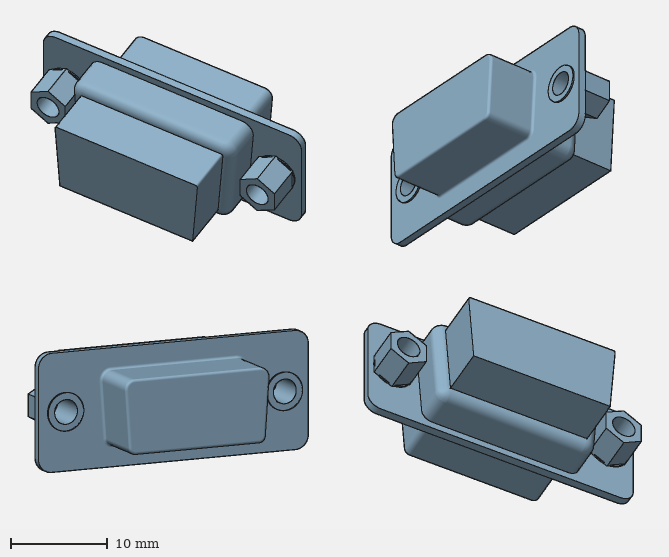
import cadquery as cq
import math

SIDE_ANGLE = math.radians(4)

FLANGE_WIDTH = 30.81
FLANGE_HEIGHT = 12.55
FLANGE_THICKNESS = 0.86
FLANGE_CORNER_RADIUS = 1.5
FLANGE_OFFSET_X = 0.04

SHROUD_WIDTH = 19.4
SHROUD_HEIGHT = 10.86
SHROUD_DEPTH = 4.18
SHROUD_TOP_RADIUS = 1.4
SHROUD_BOTTOM_RADIUS = 1.25
SHROUD_EDGE_FILLET = 1.11

SHROUD_WALL = 1.2
INSERT_WIDTH = SHROUD_WIDTH - 2 * SHROUD_WALL
INSERT_HEIGHT = SHROUD_HEIGHT - 2 * SHROUD_WALL
INSERT_TOP_RADIUS = 0.25
INSERT_LENGTH = 9.4

PLUG_WIDTH = 16.42
PLUG_HEIGHT = 7.9
PLUG_LENGTH = 5.84
PLUG_TOP_RADIUS = 1.05
PLUG_BOTTOM_RADIUS = 0.75
PLUG_EDGE_SIZE = 0.28

SELECTION_MARGIN = 0.01

POST_SPACING = 24.97
POST_OFFSET_X = -0.1
POST_ACROSS_FLATS = 4.1
POST_LENGTH = 3.8
POST_HOLE_DIAMETER = 2.6

COLLAR_DIAMETER = 4.4
COLLAR_HEIGHT = 0.17
SHANK_DIAMETER = 4.06
SHANK_PROTRUSION = 0.18


def plane_at(y):
    """Sketch plane at the given y, drawn with X right and Z up; extrusion goes to -Y."""
    return cq.Workplane("XZ", origin=(0, y, 0))


def d_prism(width, height, y_back, y_front, top_radius, bottom_radius=0):
    """D-shaped prism; width is measured over the rounded top corners."""
    overhang = top_radius * (math.tan(math.pi / 4 + SIDE_ANGLE / 2) - 1)
    top_half = width / 2 + overhang
    bottom_half = top_half - height * math.tan(SIDE_ANGLE)
    top = height / 2
    prism = (
        plane_at(y_back)
        .polyline([(-top_half, top), (top_half, top), (bottom_half, -top), (-bottom_half, -top)])
        .close()
        .extrude(y_back - y_front)
    )
    prism = prism.edges("|Y").edges(">Z").fillet(top_radius)
    if bottom_radius:
        prism = prism.edges("|Y").edges("<Z").fillet(bottom_radius)
    return prism


def disc(x, y_back, diameter, length):
    return plane_at(y_back).center(x, 0).circle(diameter / 2).extrude(length)


def make_flange():
    return (
        plane_at(FLANGE_THICKNESS)
        .center(FLANGE_OFFSET_X, 0)
        .rect(FLANGE_WIDTH, FLANGE_HEIGHT)
        .extrude(FLANGE_THICKNESS)
        .edges("|Y")
        .fillet(FLANGE_CORNER_RADIUS)
    )


def make_shroud():
    shroud = d_prism(
        SHROUD_WIDTH, SHROUD_HEIGHT, 0, -SHROUD_DEPTH, SHROUD_TOP_RADIUS, SHROUD_BOTTOM_RADIUS
    )
    return shroud.faces("<Y").edges().fillet(SHROUD_EDGE_FILLET)


def make_plug():
    y_end = FLANGE_THICKNESS + PLUG_LENGTH
    plug = d_prism(
        PLUG_WIDTH, PLUG_HEIGHT, y_end, FLANGE_THICKNESS, PLUG_TOP_RADIUS, PLUG_BOTTOM_RADIUS
    )
    return plug.faces(">Y").edges().fillet(PLUG_EDGE_SIZE)


def make_insert():
    return d_prism(INSERT_WIDTH, INSERT_HEIGHT, 0, -INSERT_LENGTH, INSERT_TOP_RADIUS)


def add_post(body, side):
    post_x = side * POST_SPACING / 2 + POST_OFFSET_X
    collar_x = side * POST_SPACING / 2
    corner_diameter = POST_ACROSS_FLATS / math.cos(math.pi / 6)
    shank_end = FLANGE_THICKNESS + SHANK_PROTRUSION
    hexagon = (
        cq.Workplane("XY")
        .polygon(6, corner_diameter)
        .extrude(POST_LENGTH)
        .rotate((0, 0, 0), (0, 0, 1), 90)
        .rotate((0, 0, 0), (1, 0, 0), 90)
        .translate((post_x, 0, 0))
    )
    body = body.union(hexagon)
    body = body.union(disc(collar_x, 0, COLLAR_DIAMETER, COLLAR_HEIGHT))
    body = body.union(disc(post_x, shank_end, SHANK_DIAMETER, SHANK_PROTRUSION))
    return body.cut(disc(post_x, shank_end, POST_HOLE_DIAMETER, shank_end + POST_LENGTH))


def make_shell(insert):
    shell = make_flange().union(make_plug())
    root_edges = cq.selectors.BoxSelector(
        (-PLUG_WIDTH / 2, FLANGE_THICKNESS - SELECTION_MARGIN, -FLANGE_HEIGHT / 2 + SELECTION_MARGIN),
        (PLUG_WIDTH / 2, FLANGE_THICKNESS + SELECTION_MARGIN, FLANGE_HEIGHT / 2 - SELECTION_MARGIN),
    )
    shell = shell.edges(root_edges).fillet(PLUG_EDGE_SIZE)
    shell = shell.union(make_shroud()).cut(insert)
    for side in (-1, 1):
        shell = add_post(shell, side)
    return shell


insert = make_insert()
shell = make_shell(insert)

result = cq.Compound.makeCompound([shell.val(), insert.val()])